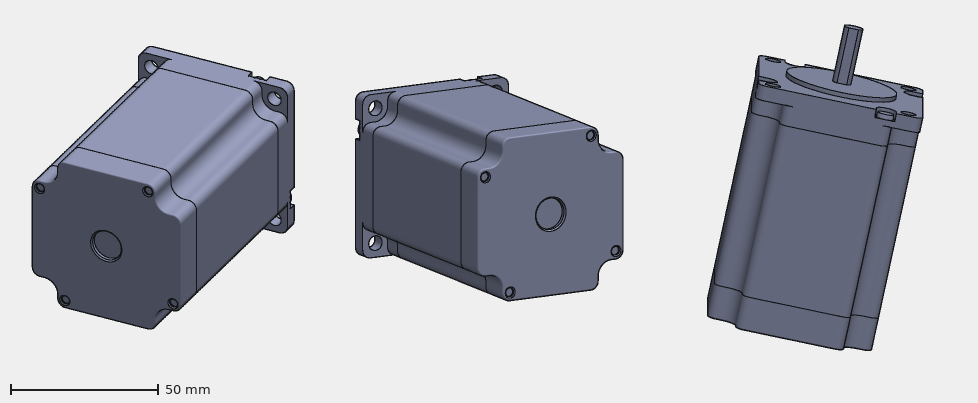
import cadquery as cq
import math


shaft_length = 19.4
pilot_height = 1.6
flange_thickness = 5.0
front_cap_length = 12.0
stack_length = 60.5
rear_cap_length = 11.5

stack_front_y = -front_cap_length
stack_rear_y = stack_front_y - stack_length
rear_y = stack_rear_y - rear_cap_length

body_width = 57.0
half_width = body_width / 2
corner_radius = 3.0
corner_count = 4
mounting_hole_spacing = 47.0
mounting_hole_diameter = 5.1
pilot_diameter = 38.2
shaft_diameter = 6.4
shaft_flat_offset = 2.7

notch_wall = 18.8
scallop_radius = 5.0
arc_center_far = half_width - corner_radius
arc_center_near = notch_wall - corner_radius
scallop_center = notch_wall + scallop_radius

rear_fillet = 0.5
recess_diameter = 10.9
recess_depth = 1.8
recess_chamfer = 0.5

screw_offset_near = 15.9
screw_offset_far = 25.5
screw_diameter = 3.0
screw_hole_chamfer = 0.4
screw_end_depth = 1.0
head_diameter = 6.0
head_height = 1.7
head_top_diameter = 5.2
screw_count = 4
head_slot_width = 6.9
head_slot_depth = 2.8

head_seat_y = -head_slot_depth
screw_end_y = rear_y + screw_end_depth
screw_angles = [turn * 360 / screw_count for turn in range(screw_count)]


def plane_at(y):
    """Plane across the motor axis: local x is X, local y is Z, the normal is -Y."""
    return cq.Workplane("XZ", origin=(0, y, 0))


def cylinder(diameter, front_y, back_y):
    """Cylinder on the motor axis between two stations."""
    return plane_at(front_y).circle(diameter / 2).extrude(front_y - back_y)


def at_screw_axis(shape, angle):
    """Moves a shape from the motor axis to one of the screw axes."""
    moved = shape.translate((screw_offset_near, 0, screw_offset_far))
    return moved.rotate((0, 0, 0), (0, 1, 0), angle)


def cut_screw_features(body, cutter):
    """Cuts the same feature at every screw axis."""
    for angle in screw_angles:
        body = body.cut(at_screw_axis(cutter, angle))
    return body


def rotated(point, quarter_turns):
    """Turns an (x, z) point about the motor axis by a number of quarter turns."""
    x, z = point
    for _ in range(quarter_turns):
        x, z = -z, x
    return x, z


def body_section(front_y, length):
    """Prism of the notched body outline, starting at front_y and running towards -Y."""
    arc_middle = math.sin(math.radians(45))
    convex_middle = corner_radius * arc_middle
    scallop_middle = scallop_center - scallop_radius * arc_middle

    outline = plane_at(front_y).moveTo(half_width, -arc_center_near)
    for turn in range(corner_count):
        side_end = rotated((half_width, arc_center_near), turn)
        first_arc_middle = rotated(
            (arc_center_far + convex_middle, arc_center_near + convex_middle), turn
        )
        first_arc_end = rotated((arc_center_far, notch_wall), turn)
        scallop_start = rotated((scallop_center, notch_wall), turn)
        scallop_bottom = rotated((scallop_middle, scallop_middle), turn)
        scallop_end = rotated((notch_wall, scallop_center), turn)
        second_arc_start = rotated((notch_wall, arc_center_far), turn)
        second_arc_middle = rotated(
            (arc_center_near + convex_middle, arc_center_far + convex_middle), turn
        )
        next_side_start = rotated((arc_center_near, half_width), turn)
        outline = (
            outline.lineTo(*side_end)
            .threePointArc(first_arc_middle, first_arc_end)
            .lineTo(*scallop_start)
            .threePointArc(scallop_bottom, scallop_end)
            .lineTo(*second_arc_start)
            .threePointArc(second_arc_middle, next_side_start)
        )
    return outline.close().extrude(length)


def screw_bore():
    """Through bore for a screw shank."""
    return cylinder(screw_diameter, 0, rear_y)


def head_slot():
    """Round-ended slot for a screw head, open through the side face of the flange."""
    round_end = cylinder(head_slot_width, 0, head_seat_y)
    edge_distance = half_width - screw_offset_far
    opening = (
        plane_at(0)
        .center(0, edge_distance / 2)
        .rect(head_slot_width, edge_distance)
        .extrude(head_slot_depth)
    )
    return round_end.union(opening)


def chamfer_cutter(hole_diameter, size):
    """Cone that chamfers the rim of a hole in the rear face."""
    cone = cq.Solid.makeCone(
        hole_diameter / 2 + size,
        hole_diameter / 2,
        size,
        cq.Vector(0, rear_y, 0),
        cq.Vector(0, 1, 0),
    )
    return cq.Workplane(cone)


def make_shaft_end():
    """D-shaped output shaft, flat on the -Z side."""
    tip_y = pilot_height + shaft_length
    shaft = cylinder(shaft_diameter, tip_y, 0)
    flat_center_z = -shaft_flat_offset - shaft_diameter / 2
    flat_cutter = (
        plane_at(tip_y)
        .center(0, flat_center_z)
        .rect(shaft_diameter, shaft_diameter)
        .extrude(shaft_length)
    )
    return shaft.cut(flat_cutter)


def make_front_cap():
    """Mounting flange with its pilot, the output shaft and the front part of the body."""
    flange = (
        plane_at(0)
        .rect(body_width, body_width)
        .extrude(flange_thickness)
        .edges("|Y")
        .fillet(corner_radius)
    )
    mounting_holes = (
        plane_at(0)
        .rect(mounting_hole_spacing, mounting_hole_spacing, forConstruction=True)
        .vertices()
        .circle(mounting_hole_diameter / 2)
        .extrude(flange_thickness)
    )
    neck = body_section(-flange_thickness, front_cap_length - flange_thickness)
    pilot = cylinder(pilot_diameter, pilot_height, 0)
    cap = flange.cut(mounting_holes).union(neck).union(pilot).union(make_shaft_end())
    cap = cut_screw_features(cap, head_slot())
    return cut_screw_features(cap, screw_bore())


def make_stack():
    """Middle section of the body, bored for the screws."""
    return cut_screw_features(body_section(stack_front_y, stack_length), screw_bore())


def make_rear_cap():
    """Rear section with a rounded edge, a round center recess and the screw holes."""
    cap = body_section(stack_rear_y, rear_cap_length).faces("<Y").fillet(rear_fillet)
    recess = (
        plane_at(rear_y + recess_depth)
        .circle(recess_diameter / 2)
        .extrude(recess_depth)
    )
    recess_rim = chamfer_cutter(recess_diameter, recess_chamfer)
    cap = cap.cut(recess).cut(recess_rim)
    cap = cut_screw_features(cap, screw_bore())
    return cut_screw_features(cap, chamfer_cutter(screw_diameter, screw_hole_chamfer))


def make_screw_head():
    """Pan head: a flat top with a side that rises straight from the seat and curves inwards."""
    side_inset = (head_diameter - head_top_diameter) / 2
    side_radius = (side_inset**2 + head_height**2) / (2 * side_inset)
    middle_height = head_height / 2
    middle_inset = side_radius - math.sqrt(side_radius**2 - middle_height**2)
    side_middle = (head_diameter / 2 - middle_inset, middle_height)
    return (
        cq.Workplane("XY", origin=(0, head_seat_y, 0))
        .lineTo(head_diameter / 2, 0)
        .threePointArc(side_middle, (head_top_diameter / 2, head_height))
        .lineTo(0, head_height)
        .close()
        .revolve(360, (0, 0, 0), (0, 1, 0))
    )


def make_screw(angle):
    """Pan head in its flange slot, with a shank reaching into the rear cap."""
    shank = cylinder(screw_diameter, head_seat_y, screw_end_y)
    return at_screw_axis(make_screw_head().union(shank), angle)


front_cap = make_front_cap()
stack = make_stack()
rear_cap = make_rear_cap()
screws = [make_screw(angle) for angle in screw_angles]

result = cq.Compound.makeCompound(
    [front_cap.val(), stack.val(), rear_cap.val(), *[screw.val() for screw in screws]]
)